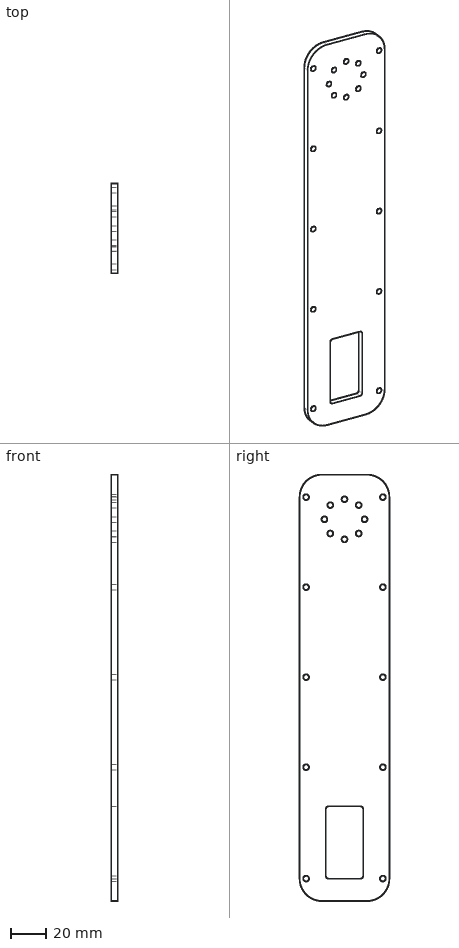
import cadquery as cq

thickness = 3.9
width = 51.0
height = 241.3
corner_radius = 12.8

hole_diameter = 3.1
edge_hole_half_spacing = 21.7
end_margin = 12.8
edge_hole_pitch = 51.0
upper_rows = 4

ring_hole_count = 8
ring_radius = 11.3
ring_center_z = height - 25.3

window_width = 21.0
window_height = 40.8
window_bottom_z = end_margin
window_corner_radius = 1.5


def upright_block(size_y, size_z, bottom_z, radius):
    """Block of plate thickness with its four YZ corners rounded."""
    return (
        cq.Workplane("XY")
        .box(thickness, size_y, size_z)
        .edges("|X")
        .fillet(radius)
        .translate((thickness / 2, 0, bottom_z + size_z / 2))
    )


def holes_at(points):
    """Cylinders through the plate at the given (y, z) points."""
    return cq.Workplane("YZ").pushPoints(points).circle(hole_diameter / 2).extrude(thickness)


row_heights = [height - end_margin - row * edge_hole_pitch for row in range(upper_rows)]
row_heights.append(end_margin)
edge_points = [(side * edge_hole_half_spacing, z) for z in row_heights for side in (-1, 1)]

ring_holes = (
    cq.Workplane("YZ")
    .center(0, ring_center_z)
    .polarArray(ring_radius, 0, 360, ring_hole_count)
    .circle(hole_diameter / 2)
    .extrude(thickness)
)

plate = upright_block(width, height, 0, corner_radius)
window = upright_block(window_width, window_height, window_bottom_z, window_corner_radius)

result = plate.cut(window).cut(holes_at(edge_points)).cut(ring_holes)